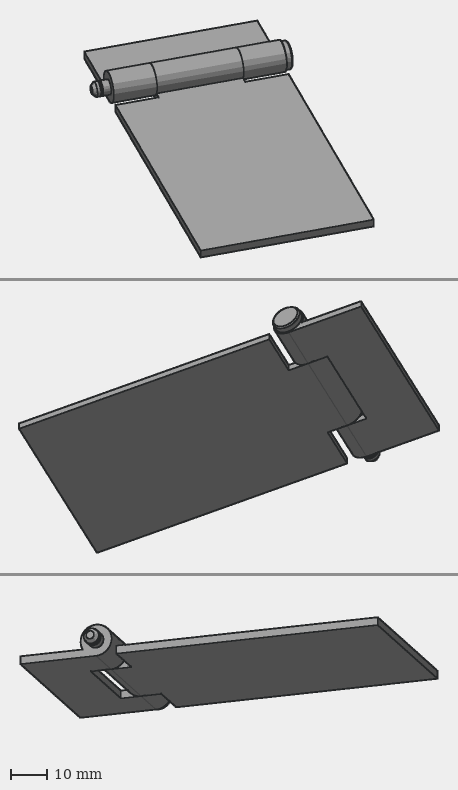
import cadquery as cq

hinge_length = 104.0
leaf_width = 50.0
leaf_thickness = 2.3

barrel_diameter = 9.0
barrel_radius = barrel_diameter / 2
axis_x = 22.0
axis_z = barrel_radius
knuckle_clearance = 1.4
notch_reach = barrel_radius + knuckle_clearance
middle_knuckle_width = leaf_width / 2
outer_knuckle_width = (leaf_width - middle_knuckle_width) / 2

pin_radius = 2.2
pin_tip_length = 5.0
pin_tip_chamfer = 1.0
groove_radius = 1.6
groove_width = 0.6
groove_offset = 2.3
head_radius = 4.1
head_thickness = 2.0
head_chamfer = 0.4


def plate(x_start, x_end, y_start, width):
    """Flat rectangular stretch of a leaf."""
    return cq.Workplane("XY").box(
        x_end - x_start, width, leaf_thickness, centered=False
    ).translate((x_start, y_start, 0))


def axis_cylinder(radius, y_start, length):
    """Cylinder on the pin axis, running toward +Y from y_start."""
    return (
        cq.Workplane("XZ", origin=(axis_x, y_start, axis_z))
        .circle(radius)
        .extrude(-length)
    )


def make_leaf(outer_x, direction, knuckles):
    """Leaf with one tab and bored knuckle per (y_start, width) pair.

    direction is the side of the axis where the leaf lies: -1 or +1 along X.
    """
    inner_x = axis_x + direction * notch_reach
    leaf = plate(min(outer_x, inner_x), max(outer_x, inner_x), 0, leaf_width)
    for y_start, width in knuckles:
        tab = plate(min(axis_x, inner_x), max(axis_x, inner_x), y_start, width)
        leaf = leaf.union(tab).union(axis_cylinder(barrel_radius, y_start, width))
    return leaf.cut(axis_cylinder(pin_radius, 0, leaf_width))


def make_pin():
    """Headed pin with a retaining groove and a chamfered tip at the -Y end."""
    shaft = axis_cylinder(pin_radius, -pin_tip_length, pin_tip_length + leaf_width)
    shaft = shaft.faces("<Y").chamfer(pin_tip_chamfer)
    head = axis_cylinder(head_radius, leaf_width, head_thickness)
    head = head.faces(">Y").chamfer(head_chamfer)
    groove_start = -groove_offset - groove_width
    groove = axis_cylinder(pin_radius, groove_start, groove_width).cut(
        axis_cylinder(groove_radius, groove_start, groove_width)
    )
    return shaft.union(head).cut(groove)


outer_knuckles = [
    (0, outer_knuckle_width),
    (leaf_width - outer_knuckle_width, outer_knuckle_width),
]
middle_knuckle = [(outer_knuckle_width, middle_knuckle_width)]

narrow_leaf = make_leaf(0, -1, outer_knuckles)
wide_leaf = make_leaf(hinge_length, 1, middle_knuckle)
pin = make_pin()

result = cq.Compound.makeCompound([narrow_leaf.val(), wide_leaf.val(), pin.val()])